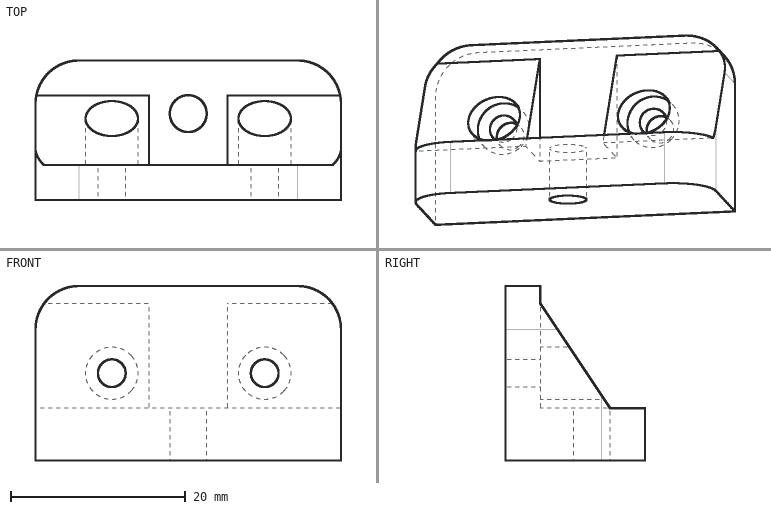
import cadquery as cq

width = 35.0
depth = 16.0
height = 20.0
corner_radius = 5.0

plate_thickness = 4.0
base_thickness = 6.0

gusset_top = 18.0
gusset_end = 12.0
channel_width = 9.0

screw_spacing = width / 2
screw_height = height / 2
screw_diameter = 3.15
head_diameter = 6.0

base_hole_diameter = 4.2
base_hole_y = 9.9


def make_rounded_block(edge_selector):
    """Block of the overall size with the selected edges rounded."""
    block = cq.Workplane("XY").box(width, depth, height, centered=(True, False, False))
    return block.edges(edge_selector).fillet(corner_radius)


def make_body():
    """Side profile extruded across the width, with the outer corners rounded."""
    profile = [
        (0, 0),
        (depth, 0),
        (depth, base_thickness),
        (gusset_end, base_thickness),
        (plate_thickness, gusset_top),
        (plate_thickness, height),
        (0, height),
    ]
    side_solid = cq.Workplane("YZ").polyline(profile).close().extrude(width / 2, both=True)

    plate_outline = make_rounded_block("|Y and >Z")
    base_outline = make_rounded_block("|Z and >Y")
    return side_solid.intersect(plate_outline).intersect(base_outline)


def make_channel():
    """Clearance between the two gussets, above the base and behind the plate."""
    return (
        cq.Workplane("XY")
        .box(channel_width, depth, height, centered=(True, False, False))
        .translate((0, plate_thickness, base_thickness))
    )


def make_bore_along_y(x, diameter, start_y):
    """Bore at screw height, running from start_y to the rear of the part."""
    bore = cq.Workplane("XZ").circle(diameter / 2).extrude(start_y - depth)
    return bore.translate((x, start_y, screw_height))


def make_base_hole():
    """Vertical hole through the base plate."""
    hole = cq.Workplane("XY").circle(base_hole_diameter / 2).extrude(base_thickness)
    return hole.translate((0, base_hole_y, 0))


result = make_body().cut(make_channel()).cut(make_base_hole())
for screw_x in (-screw_spacing / 2, screw_spacing / 2):
    result = result.cut(make_bore_along_y(screw_x, screw_diameter, 0))
    result = result.cut(make_bore_along_y(screw_x, head_diameter, plate_thickness))